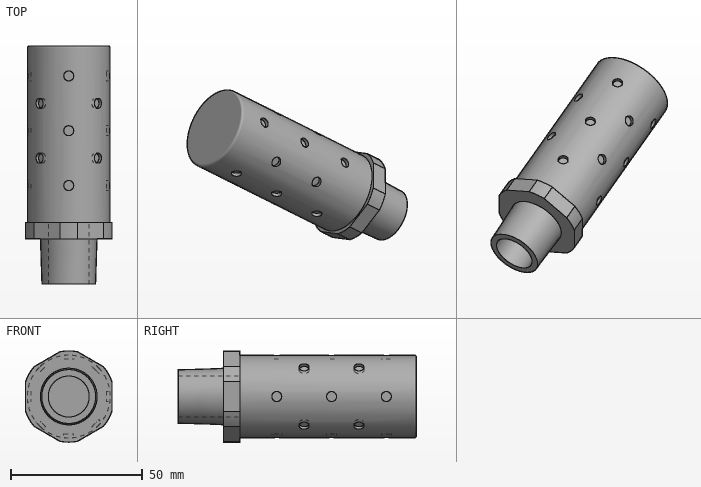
import cadquery as cq
import math

total_length = 90.9
spigot_length = 17.3
collar_length = 6.3
collar_end = spigot_length + collar_length
barrel_length = total_length - collar_end

barrel_radius = 15.8
end_fillet = 0.8

collar_across_flats = 33.0
collar_corner_diameter = 34.9
hexagon_sides = 6

spigot_tip_radius = 10.3
spigot_root_radius = 10.8
bore_radius = 7.8
bore_depth = collar_end

hole_diameter = 3.8
hole_depth = 1.5
hole_columns = 8
row_pitch = 10.5
middle_row = 58.6
long_column_rows = (-2, 0, 2)
short_column_rows = (-1, 1)


def disc(radius, start, length):
    """Cylinder on the Y axis, starting at the given Y."""
    return cq.Workplane("XZ", origin=(0, start, 0)).circle(radius).extrude(-length)


def make_barrel():
    barrel = disc(barrel_radius, collar_end, barrel_length)
    return barrel.faces(">Y").fillet(end_fillet)


def make_collar():
    corner_to_corner = collar_across_flats / math.cos(math.pi / hexagon_sides)
    hexagon = (
        cq.Workplane("XZ", origin=(0, spigot_length, 0))
        .transformed(rotate=(0, 0, 180 / hexagon_sides))
        .polygon(hexagon_sides, corner_to_corner)
        .extrude(-collar_length)
    )
    return hexagon.intersect(disc(collar_corner_diameter / 2, spigot_length, collar_length))


def make_spigot():
    profile = [
        (0, 0),
        (spigot_tip_radius, 0),
        (spigot_root_radius, spigot_length),
        (0, spigot_length),
    ]
    return cq.Workplane("XY").polyline(profile).close().revolve(360, (0, 0), (0, 1))


def make_radial_holes():
    holes = cq.Workplane("XY")
    for column in range(hole_columns):
        rows = long_column_rows if column % 2 == 0 else short_column_rows
        centres = [(0, middle_row + row * row_pitch) for row in rows]
        drills = (
            cq.Workplane("XY", origin=(0, 0, barrel_radius - hole_depth))
            .pushPoints(centres)
            .circle(hole_diameter / 2)
            .extrude(2 * hole_depth)
        )
        holes = holes.add(drills.rotate((0, 0, 0), (0, 1, 0), column * 360 / hole_columns))
    return holes.combine()


body = make_barrel().union(make_collar()).union(make_spigot())
bore = disc(bore_radius, 0, bore_depth)
result = body.cut(bore).cut(make_radial_holes())